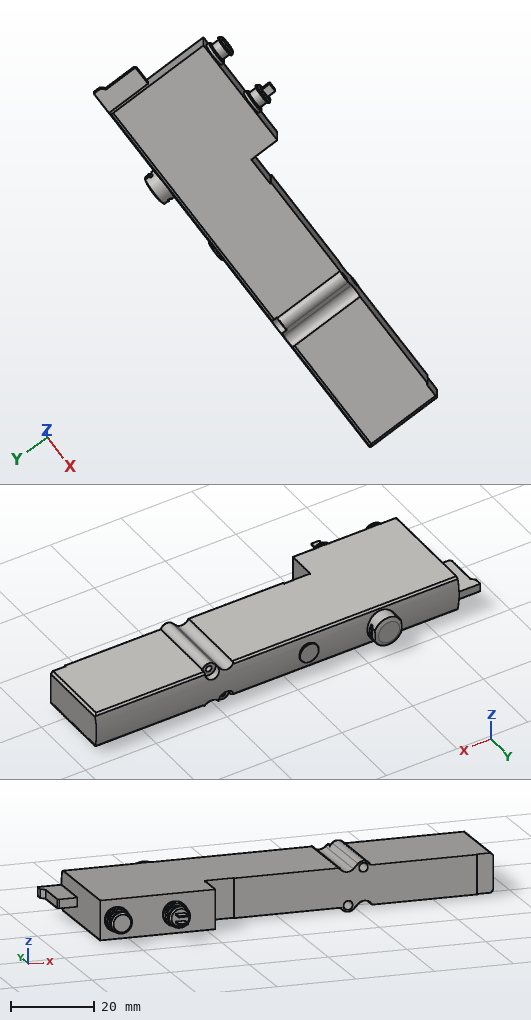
import cadquery as cq
import math


total_length = 108.5
body_left = 6.0
half_thickness = 5.0
block_front = -28.5
block_right = 35.2
bar_front = -20.7
pad_left = 42.5
pad_right = 104.3
pad_front = -21.0
end_chamfer = 0.7

back_bevel_depth = 0.7
back_bevel_width = 0.4
arch_half_width = half_thickness - back_bevel_width
arch_drop = 0.7
arch_radius = (arch_half_width**2 + arch_drop**2) / (2 * arch_drop)

tab_thickness = 2.3
tab_bottom = -11.8
tab_lip_depth = 2.0
tab_step = 1.0
tab_corner_chamfer = 0.4

mid_x = 73.5
ridge_x = 75.4
ridge_radius = 2.0
ridge_top = 6.2
groove_x = 71.3
groove_diameter = 4.5
groove_radius = groove_diameter / 2
groove_bottom = 3.8
section_floor = 2.7
screw_z = 4.6
screw_diameter = 2.3
screw_throat_diameter = 1.6
screw_throat_end = 4.3
screw_head_diameter = 3.9
screw_head_depth = 2.2

plug_x = 10.1
socket_x = 24.8
flange_diameter = 6.1
flange_thickness = 1.1
flange_bevel = 0.3
stem_diameter = 4.5
stem_length = 2.2
rim_diameter = 5.3
rim_thickness = 0.9
rim_bevel = 0.4
blade_width = 2.3
blade_thickness = 0.3
blade_length = 2.3
blade_z = 1.0

knob_x = 27.9
knob_diameter = 8.1
knob_height = 3.3
knob_bevel_height = 0.3
knob_bevel_width = 1.1
knob_flat_width = 7.5
knob_flat_x = knob_flat_width / 2
knob_flat_bottom = 1.8
knob_slot_x = 3.5
knob_slot_bottom = 0.9
knob_slot_top = 1.6
button_x = 48.5
button_diameter = 5.3
button_height = 0.3
root = 2.2


def box_between(x0, x1, y0, y1, z0, z1):
    return cq.Workplane("XY").box(x1 - x0, y1 - y0, z1 - z0, centered=False).translate((x0, y0, z0))


def rod(x, z, y_start, y_end, diameter):
    """Round rod along Y."""
    length = y_end - y_start
    plane = cq.Plane(origin=(x, y_start, z), xDir=(1, 0, 0), normal=(0, 1, 0))
    return cq.Workplane(plane).circle(diameter / 2).extrude(length)


def arch_envelope():
    """Long cylinder along X whose surface is the arched back."""
    plane = cq.Plane(origin=(0, -arch_radius, 0), xDir=(0, -1, 0), normal=(1, 0, 0))
    return cq.Workplane(plane).circle(arch_radius).extrude(total_length)


def turned(shape, angle):
    """Shape turned about the Y-direction axis midway between the two screws."""
    return shape.rotate((mid_x, 0, 0), (mid_x, 1, 0), angle)


def bevelled_profile():
    """Cross-section of the bar extruded along X, its back bevels carried on to the crown plane."""
    bevel_front = -arch_drop - back_bevel_depth
    crown_half_width = half_thickness + bevel_front * back_bevel_width / back_bevel_depth
    return (
        cq.Workplane("YZ")
        .moveTo(bar_front, -half_thickness)
        .lineTo(bevel_front, -half_thickness)
        .lineTo(0, -crown_half_width)
        .lineTo(0, crown_half_width)
        .lineTo(bevel_front, half_thickness)
        .lineTo(bar_front, half_thickness)
        .close()
        .extrude(total_length)
    )


def make_body():
    bar = box_between(body_left, total_length, bar_front, 0, -half_thickness, half_thickness)
    bar = bar.edges("|Y and >X").chamfer(end_chamfer).intersect(bevelled_profile())
    block = box_between(body_left, block_right, block_front, bar_front, -half_thickness, half_thickness)
    pad = box_between(pad_left, pad_right, pad_front, bar_front, -half_thickness, half_thickness)
    return bar.union(block).union(pad)


def make_tab():
    half = tab_thickness / 2
    return (
        cq.Workplane("XY", origin=(0, 0, -half))
        .moveTo(0, 0)
        .lineTo(0, -tab_lip_depth)
        .lineTo(tab_step, -tab_lip_depth - tab_step)
        .lineTo(tab_step, tab_bottom + tab_corner_chamfer)
        .lineTo(tab_step + tab_corner_chamfer, tab_bottom)
        .lineTo(body_left, tab_bottom)
        .lineTo(body_left, 0)
        .close()
        .extrude(tab_thickness)
    )


def groove_and_ridge():
    """X range and solid of the S-shaped section: groove arc, tangent flat, ridge arc."""
    groove_z = groove_bottom + groove_radius
    ridge_z = ridge_top - ridge_radius
    left = groove_x - math.sqrt(groove_radius**2 - (groove_z - half_thickness) ** 2)
    right = ridge_x + math.sqrt(ridge_radius**2 - (half_thickness - ridge_z) ** 2)

    dx = ridge_x - groove_x
    dz = ridge_z - groove_z
    tilt = math.acos((groove_radius + ridge_radius) / math.hypot(dx, dz))
    angle = math.atan2(dz, dx) - tilt
    groove_tangent = (groove_x + groove_radius * math.cos(angle), groove_z + groove_radius * math.sin(angle))
    ridge_tangent = (ridge_x - ridge_radius * math.cos(angle), ridge_z - ridge_radius * math.sin(angle))

    section = (
        cq.Workplane("XZ")
        .moveTo(left, section_floor)
        .lineTo(left, half_thickness)
        .threePointArc((groove_x, groove_bottom), groove_tangent)
        .lineTo(*ridge_tangent)
        .threePointArc((ridge_x, ridge_top), (right, half_thickness))
        .lineTo(right, section_floor)
        .close()
        .extrude(-pad_front)
    )
    return left, right, section


def add_grooves_and_ridges(body):
    left, right, section = groove_and_ridge()
    channel = box_between(left, right, pad_front, 0, section_floor, half_thickness)
    screw_hole = rod(ridge_x, screw_z, pad_front, -screw_throat_end, screw_diameter)
    throat = rod(ridge_x, screw_z, -screw_throat_end, -screw_head_depth, screw_throat_diameter)
    head_pocket = rod(ridge_x, screw_z, -screw_head_depth, 0, screw_head_diameter)
    hole = screw_hole.union(throat).union(head_pocket)
    for angle in (0, 180):
        body = body.cut(turned(channel, angle))
        body = body.union(turned(section, angle))
        body = body.cut(turned(hole, angle))
    return body


def make_connector(x):
    """Flange, stem and rim turned about an axis along Y."""
    flange_end = block_front - flange_thickness
    stem_end = flange_end - stem_length
    rim_end = stem_end - rim_thickness
    flange = rod(x, 0, flange_end, block_front, flange_diameter).faces("<Y").edges().chamfer(flange_bevel)
    stem = rod(x, 0, stem_end, flange_end, stem_diameter)
    rim = rod(x, 0, rim_end, stem_end, rim_diameter).faces("<Y").edges().chamfer(rim_bevel)
    return flange.union(stem).union(rim)


def make_blades(x):
    blade_start = block_front - flange_thickness - stem_length - rim_thickness
    blade = box_between(
        x - blade_width / 2, x + blade_width / 2,
        blade_start - blade_length, blade_start,
        -blade_thickness / 2, blade_thickness / 2,
    )
    return blade.translate((0, 0, blade_z)).union(blade.translate((0, 0, -blade_z)))


def make_knob():
    radius = knob_diameter / 2
    knob = (
        cq.Workplane("XY")
        .moveTo(0, -root)
        .lineTo(radius, -root)
        .lineTo(radius, knob_height - knob_bevel_height)
        .lineTo(radius - knob_bevel_width, knob_height)
        .lineTo(0, knob_height)
        .close()
        .revolve(360, (0, 0, 0), (0, 1, 0))
    )
    flat = box_between(knob_flat_x, radius, knob_flat_bottom, knob_height, -radius, radius)
    slot = box_between(knob_slot_x, radius, knob_slot_bottom, knob_slot_top, -radius, radius)
    for relief in (flat, slot):
        knob = knob.cut(relief).cut(relief.mirror("YZ"))
    return knob.translate((knob_x, 0, 0))


body = add_grooves_and_ridges(make_body()).intersect(arch_envelope())
button = rod(button_x, 0, -root, button_height, button_diameter)
result = body.union(make_tab()).union(make_knob()).union(button)
for connector_x in (plug_x, socket_x):
    result = result.union(make_connector(connector_x))
result = result.union(make_blades(socket_x))